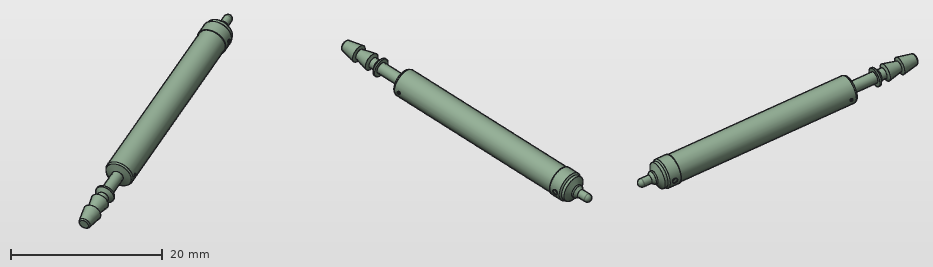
import cadquery as cq
import math

length = 43.5
front_y = length / 2
back_y = -length / 2

tip_radius = 0.6
tip_dome_y = front_y - tip_radius
tip_base_y = 19.92

nose_neck_radius = 0.95
nose_neck_front_y = 19.5
nose_neck_back_y = 19.23
nose_diameter = 3.8
nose_radius = nose_diameter / 2
nose_shoulder_y = 18.7

collar_diameter = 4.2
collar_radius = collar_diameter / 2
collar_chamfer = collar_radius - nose_radius
collar_front_y = 18.05
collar_back_y = 16.3

body_radius = 2.0
body_chamfer_radius = 1.85
body_chamfer_y = -11.2
body_end_y = -11.45

stem_radius = 0.83
stem_start_y = -11.7
flange_radius = 1.35
flange_front_y = -15.3
flange_rim_back_y = -15.57
flange_back_y = -16.0

barb_neck_radius = 0.8
barb_radius = 1.25
barb_root_radius = barb_neck_radius
first_barb_start_y = -16.8
first_barb_crest_y = -17.0
second_barb_start_y = -19.15
second_barb_crest_y = -19.25
end_radius = 0.83
end_chamfer = 0.17

collar_dimple_y = 17.25
collar_dimple_radius = 0.4
body_dimple_y = -10.5
body_dimple_radius = 0.2
dimple_depth = 0.15


def turned_body():
    """Revolve the half outline, given as (radius, y) points running from the tip to the tail end."""
    dome_middle_offset = tip_radius * math.sin(math.radians(45))
    dome_middle = (dome_middle_offset, tip_dome_y + dome_middle_offset)
    dome_end = (tip_radius, tip_dome_y)
    nose = [
        (tip_radius, tip_base_y),
        (nose_neck_radius, nose_neck_front_y),
        (nose_neck_radius, nose_neck_back_y),
        (nose_radius, nose_shoulder_y),
        (nose_radius, collar_front_y + collar_chamfer),
    ]
    collar = [
        (collar_radius, collar_front_y),
        (collar_radius, collar_back_y),
    ]
    body = [
        (body_radius, collar_back_y),
        (body_radius, body_chamfer_y),
        (body_chamfer_radius, body_end_y),
    ]
    stem = [
        (stem_radius, stem_start_y),
        (stem_radius, flange_front_y),
        (flange_radius, flange_front_y),
        (flange_radius, flange_rim_back_y),
        (barb_neck_radius, flange_back_y),
        (barb_neck_radius, first_barb_start_y),
    ]
    barbs = [
        (barb_radius, first_barb_crest_y),
        (barb_root_radius, second_barb_start_y),
        (barb_radius, second_barb_crest_y),
        (end_radius, back_y + end_chamfer),
        (end_radius - end_chamfer, back_y),
        (0, back_y),
    ]
    outline = nose + collar + body + stem + barbs
    profile = (
        cq.Workplane("XY")
        .moveTo(0, front_y)
        .threePointArc(dome_middle, dome_end)
        .polyline(outline, includeCurrent=True)
        .close()
    )
    return profile.revolve(360, (0, 0, 0), (0, 1, 0))


def dimple(side, y, radius, surface_radius):
    """Cutter for a flat-bottomed dimple; side is -1 or +1 for the -X or +X face."""
    floor_x = side * (surface_radius - dimple_depth)
    return cq.Workplane("YZ", origin=(floor_x, y, 0)).circle(radius).extrude(side * surface_radius)


result = turned_body()
for side in (-1, 1):
    result = result.cut(dimple(side, collar_dimple_y, collar_dimple_radius, collar_radius))
    result = result.cut(dimple(side, body_dimple_y, body_dimple_radius, body_radius))